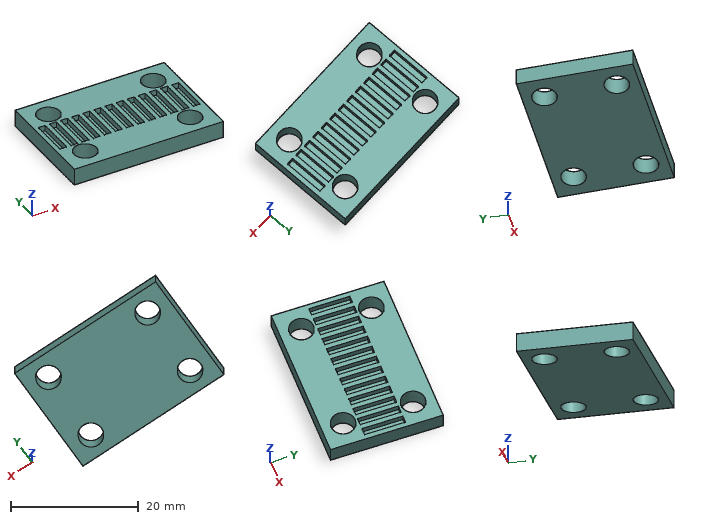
import cadquery as cq

length = 26.8
width = 18.8
thickness = 3.0

hole_diameter = 4.0
hole_spacing_x = 18.85
hole_spacing_y = 11.65

slot_count = 13
slot_span = 23.99
slot_pitch = slot_span / (slot_count - 1)
slot_width = 1.2
slot_length = 6.8
slot_depth = 1.0


def make_plate():
    """Flat plate centred on X and Y, with its bottom face at Z = 0."""
    return cq.Workplane("XY").box(length, width, thickness, centered=(True, True, False))


def cut_corner_holes(body):
    """Four through holes, one near each corner."""
    return (
        body.faces(">Z").workplane(origin=(0, 0, thickness))
        .rect(hole_spacing_x, hole_spacing_y, forConstruction=True)
        .vertices()
        .hole(hole_diameter)
    )


def cut_slots(body):
    """Parallel rectangular blind slots, spaced evenly along X."""
    return (
        body.faces(">Z").workplane(origin=(0, 0, thickness))
        .rarray(slot_pitch, 0.27, slot_count, 1)
        .rect(slot_width, slot_length)
        .cutBlind(-slot_depth)
    )


result = cut_slots(cut_corner_holes(make_plate()))